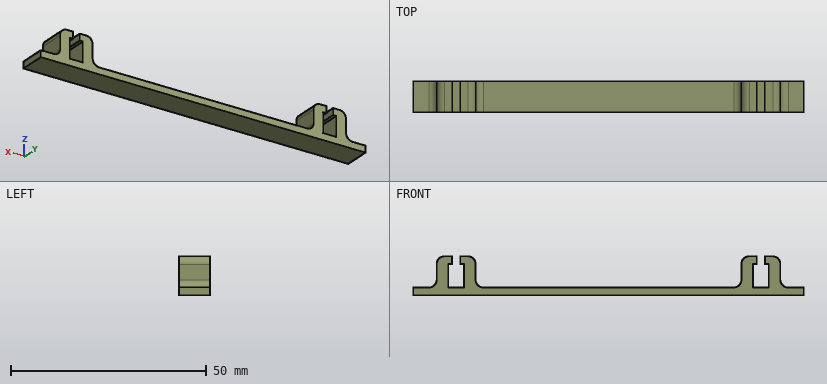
import cadquery as cq

length = 100.0
width = 8.0
base_thickness = 2.0

total_height = 10.0
clip_width = 10.0
clip_end_distance = 6.0
wall_thickness = 3.0
lip_thickness = 2.0
mouth_width = 2.0
corner_radius = 2.0

clip_center = length / 2 - clip_end_distance - clip_width / 2
channel_width = clip_width - 2 * wall_thickness
channel_height = total_height - base_thickness - lip_thickness


def block(center_x, bottom, size_x, size_z):
    """Full-width block standing on the height `bottom`."""
    return (
        cq.Workplane("XY", origin=(center_x, 0, bottom))
        .box(size_x, width, size_z, centered=(True, True, False))
    )


def edges_across_clip(body, center_x, height):
    """The two edges along Y where the clip's outer walls meet a height."""
    margin = 0.1
    half_span = clip_width / 2 + margin
    selector = cq.selectors.BoxSelector(
        (center_x - half_span, -width, height - margin),
        (center_x + half_span, width, height + margin),
    )
    return body.edges("|Y").edges(selector)


def add_clip(body, center_x):
    """Add a rounded upright, then cut its channel and narrower mouth."""
    body = body.union(block(center_x, 0, clip_width, total_height))
    for height in (base_thickness, total_height):
        body = edges_across_clip(body, center_x, height).fillet(corner_radius)
    channel = block(center_x, base_thickness, channel_width, channel_height)
    mouth = block(center_x, base_thickness, mouth_width, total_height - base_thickness)
    return body.cut(channel).cut(mouth)


result = block(0, 0, length, base_thickness)
for side in (-1, 1):
    result = add_clip(result, side * clip_center)